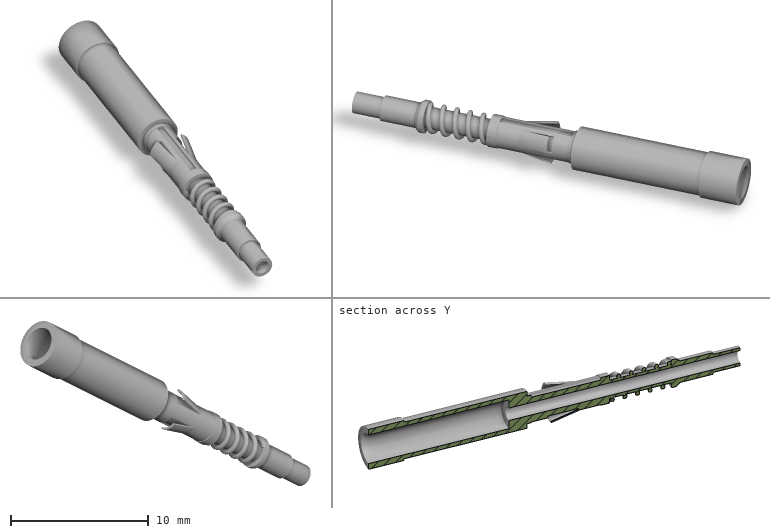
import cadquery as cq
import math

head_end = 2.9
socket_end = 12.72
rear_collar_end = 13.05
front_collar_start = 18.62
front_collar_end = 19.35
flange_start = 24.25
flange_rim_end = 24.65
flange_cone_end = 24.97
stem_end = 27.62
total_length = 29.8

head_radius = 1.743
socket_radius = 1.6
collar_radius = 1.22
barrel_radius = 1.15
core_radius = 0.8
stem_radius = 0.95

socket_bore_radius = collar_radius
socket_floor_thickness = 1.5
socket_depth = socket_end - socket_floor_thickness
through_bore_radius = 0.522

skin_thickness = 0.15
inner_radius = barrel_radius - skin_thickness
slot_width = 0.48
window_start = 14.35
window_end = 16.9
window_angle = 64.0
tine_count = 3
tine_tilt = 12.0
tine_end_gap = 0.15

wire_radius = 0.18
wire_bite = 0.015
coil_radius = core_radius + wire_radius - wire_bite
coil_start = 19.28
coil_pitch = 1.0
coil_turns = 5


def cylinder(start, end, radius):
    """Cylinder on the X axis between two stations."""
    return cq.Workplane("YZ", origin=(start, 0, 0)).circle(radius).extrude(end - start)


def make_body():
    """Stepped solid of revolution, profile given as (station, radius)."""
    profile = [
        (0, 0),
        (0, head_radius),
        (head_end, head_radius),
        (head_end, socket_radius),
        (socket_end, socket_radius),
        (socket_end, collar_radius),
        (rear_collar_end, collar_radius),
        (rear_collar_end, barrel_radius),
        (front_collar_start, barrel_radius),
        (front_collar_start, collar_radius),
        (front_collar_end, collar_radius),
        (front_collar_end, core_radius),
        (flange_start, core_radius),
        (flange_start, collar_radius),
        (flange_rim_end, collar_radius),
        (flange_cone_end, stem_radius),
        (stem_end, stem_radius),
        (stem_end, core_radius),
        (total_length, core_radius),
        (total_length, 0),
    ]
    return cq.Workplane("XY").polyline(profile).close().revolve(360, (0, 0, 0), (1, 0, 0))


def skin_sector(start, end):
    """Curved strip of the barrel skin, centred on the bottom (-Z) of the barrel."""
    half_angle = math.radians(window_angle / 2)

    def rim_point(radius, angle):
        return (radius * math.sin(angle), -radius * math.cos(angle))

    return (
        cq.Workplane("YZ", origin=(start, 0, 0))
        .moveTo(*rim_point(inner_radius, -half_angle))
        .lineTo(*rim_point(barrel_radius, -half_angle))
        .threePointArc(rim_point(barrel_radius, 0), rim_point(barrel_radius, half_angle))
        .lineTo(*rim_point(inner_radius, half_angle))
        .threePointArc(rim_point(inner_radius, 0), rim_point(inner_radius, -half_angle))
        .close()
        .extrude(end - start)
    )


def make_tine():
    """Skin strip bent outward about its inner corners nearest the spring, which keeps it joined."""
    hinge_z = -inner_radius * math.cos(math.radians(window_angle / 2))
    strip = skin_sector(window_start + tine_end_gap, window_end)
    return strip.rotate((window_end, 0, hinge_z), (window_end, 1, hinge_z), -tine_tilt)


def make_slot():
    """Lengthwise gap in the top of the barrel skin."""
    length = front_collar_start - rear_collar_end
    gap = cq.Workplane("XY").box(length, slot_width, barrel_radius, centered=(False, True, False))
    inner = cylinder(rear_collar_end, front_collar_start, inner_radius)
    return gap.translate((rear_collar_end, 0, 0)).cut(inner)


def make_spring():
    """Right-hand coil around the core, starting on the -Y side."""
    path = cq.Wire.makeHelix(coil_pitch, coil_pitch * coil_turns, coil_radius)
    wire = cq.Workplane("XZ").center(coil_radius, 0).circle(wire_radius).sweep(path, isFrenet=True)
    along_x = wire.rotate((0, 0, 0), (0, 1, 0), 90)
    return along_x.rotate((0, 0, 0), (1, 0, 0), -90).translate((coil_start, 0, 0))


result = make_body().cut(make_slot())

window = skin_sector(window_start, window_end)
tine = make_tine()
for index in range(tine_count):
    turn = index * 360 / tine_count
    result = result.cut(window.rotate((0, 0, 0), (1, 0, 0), turn))
    result = result.union(tine.rotate((0, 0, 0), (1, 0, 0), turn))

result = result.union(make_spring())
result = result.cut(cylinder(0, socket_depth, socket_bore_radius))
result = result.cut(cylinder(0, total_length, through_bore_radius))